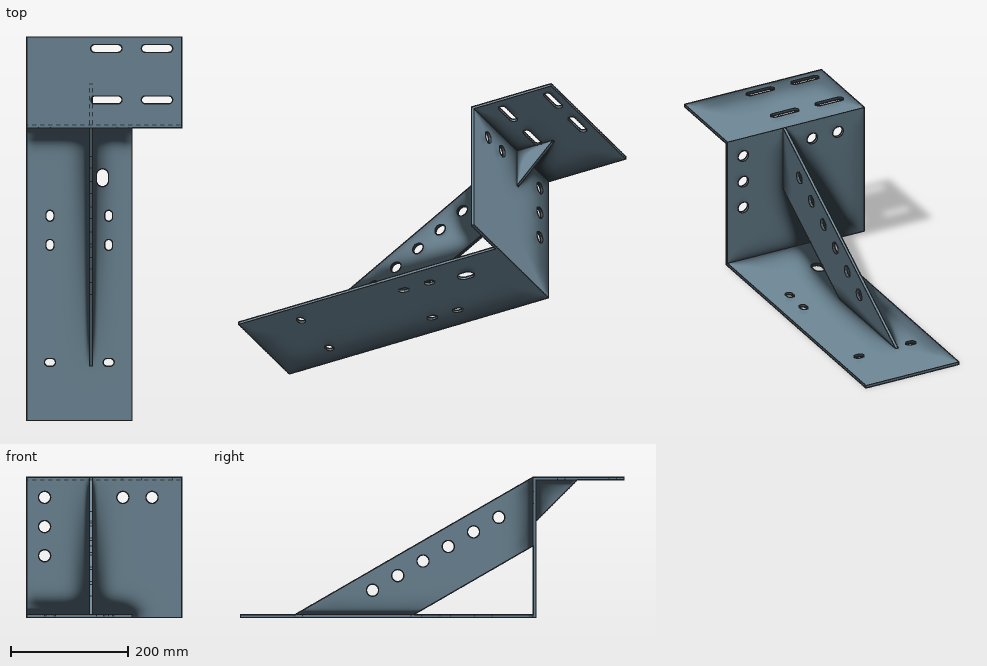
import cadquery as cq
import math

sheet = 5.0
width = 265.0
height = 240.0
base_width = 180.0
base_length = 500.0
top_length = 655 - base_length

rib_center_x = 110.0
rib_slope = math.radians(30)
rib_wall_bottom = 122.5
gusset_leg = 70.0
rib_hole_count = 6
first_rib_hole_distance = 85.0
hole_pitch = 50.0
rib_hole_edge_distance = 30.0

hole_diameter = 20.0
side_hole_x = 31.0
side_hole_count = 3
upper_hole_x = 164.5
upper_hole_count = 2
hole_drop = 35.0

slot_width = 13.0
top_slot_length = 53.0
top_slot_xs = (136.0, 223.0)
top_slot_ys = (48.0, 135.5)
base_slot_length = 18.5
base_slot_xs = (40.0, 140.0)
lengthwise_slot_ys = (-150.0, -200.0)
crosswise_slot_y = -400.0
large_slot_center = (130.0, -85.0)
large_slot_length = 30.0
large_slot_width = 20.0


def plates():
    base = cq.Workplane("XY").box(base_width, base_length, sheet, centered=False)
    base = base.translate((0, -base_length, 0))
    wall = cq.Workplane("XY").box(width, sheet, height, centered=False)
    top = cq.Workplane("XY").box(width, top_length, sheet, centered=False)
    top = top.translate((0, 0, height - sheet))
    return wall.union(base).union(top)


def upright_plate(outline):
    """Sheet standing on the rib center plane, outlined by (Y, Z) points."""
    center_plane = cq.Workplane("YZ", origin=(rib_center_x, 0, 0))
    return center_plane.polyline(outline).close().extrude(sheet / 2, both=True)


def rib():
    def reach(wall_height):
        return -(wall_height - sheet) / math.tan(rib_slope)

    plate = upright_plate([
        (0, height),
        (reach(height), sheet),
        (reach(rib_wall_bottom), sheet),
        (0, rib_wall_bottom),
    ])
    hole_points = []
    for number in range(rib_hole_count):
        along = first_rib_hole_distance + number * hole_pitch
        y = -along * math.cos(rib_slope) + rib_hole_edge_distance * math.sin(rib_slope)
        z = height - along * math.sin(rib_slope) - rib_hole_edge_distance * math.cos(rib_slope)
        hole_points.append((y, z))
    holes = cq.Workplane("YZ", origin=(rib_center_x, 0, 0)).pushPoints(hole_points)
    return plate.cut(holes.circle(hole_diameter / 2).extrude(sheet, both=True))


def gusset():
    underside = height - sheet
    return upright_plate([
        (sheet, underside),
        (sheet + gusset_leg, underside),
        (sheet, underside - gusset_leg),
    ])


def wall_holes():
    first_z = height - hole_drop
    points = [(side_hole_x, first_z - i * hole_pitch) for i in range(side_hole_count)]
    points += [(upper_hole_x + i * hole_pitch, first_z) for i in range(upper_hole_count)]
    return cq.Workplane("XZ").pushPoints(points).circle(hole_diameter / 2).extrude(-sheet)


def slots(points, length, slot_breadth, angle, bottom_z):
    """Slot cutters one sheet deep; angle 0 runs along X and 90 along Y."""
    plane = cq.Workplane("XY", origin=(0, 0, bottom_z))
    return plane.pushPoints(points).slot2D(length, slot_breadth, angle).extrude(sheet)


def grid(xs, ys):
    return [(x, y) for x in xs for y in ys]


result = plates().union(rib()).union(gusset()).cut(wall_holes())
result = result.cut(slots(grid(top_slot_xs, top_slot_ys), top_slot_length, slot_width, 0, height - sheet))
result = result.cut(slots(grid(base_slot_xs, lengthwise_slot_ys), base_slot_length, slot_width, 90, 0))
result = result.cut(slots(grid(base_slot_xs, [crosswise_slot_y]), base_slot_length, slot_width, 0, 0))
result = result.cut(slots([large_slot_center], large_slot_length, large_slot_width, 90, 0))